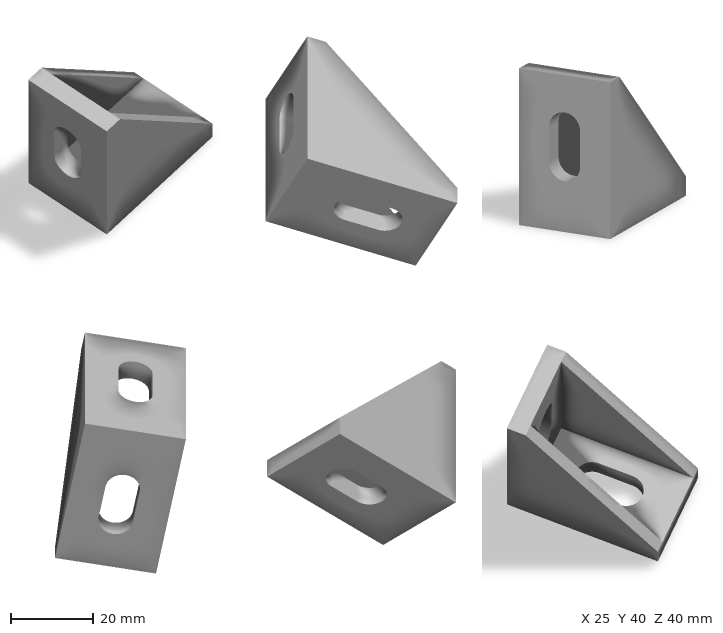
import cadquery as cq

width = 25.0
leg = 40.0
plate = 5.0
cheek = 3.0

slot_width = 8.5
slot_length = 17.5
slot_start = 13.0
slot_center = slot_start + slot_length / 2


def make_body():
    """Solid wedge: upright at Y = 0, base at Z = 0, sloped between their ends."""
    profile = [(0, 0), (leg, 0), (leg, plate), (plate, leg), (0, leg)]
    return cq.Workplane("YZ").polyline(profile).close().extrude(width / 2, both=True)


def make_cavity():
    """Space between the gussets, open on the sloped side."""
    return cq.Workplane("XY").box(
        width - 2 * cheek, leg, leg, centered=(True, False, False)
    ).translate((0, plate, plate))


def make_base_slot():
    """Slot through the base, long along Y."""
    return (
        cq.Workplane("XY")
        .center(0, slot_center)
        .slot2D(slot_length, slot_width, 90)
        .extrude(plate)
    )


def make_upright_slot():
    """Slot through the upright, long along Z."""
    return (
        cq.Workplane("XZ")
        .center(0, slot_center)
        .slot2D(slot_length, slot_width, 90)
        .extrude(-plate)
    )


result = make_body().cut(make_cavity()).cut(make_base_slot()).cut(make_upright_slot())